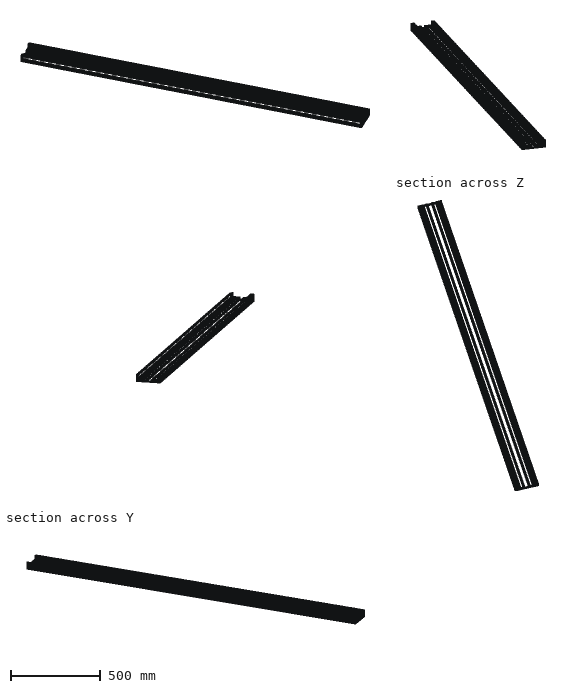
import cadquery as cq
import math

length = 2000.0
width = 130.0
height = 35.0

strip_thickness = 2.2
base_height = 13.5
base_roof = 2.8
base_floor = 3.5

outer_wall = 2.5
outer_chamber = 9.5
thin_web = 1.2
middle_chamber = 9.8
thick_web = 4.5
inner_chamber = 19.8
inner_wall = 3.5

wall_thickness = 8.5
lip_overhang = 2.2
lip_thickness = 4.2
lip_end_depth = 10.2
shoulder_width = 6.2
slope_width = 2.8
slope_angle = 30.0

half_width = width / 2
half_length = length / 2
base_width = (outer_wall + outer_chamber + thin_web + middle_chamber
              + thick_web + inner_chamber + inner_wall)


def section_plane():
    """Cross-section plane at the -X end, facing +X, with its origin at mid-width on the underside."""
    return cq.Workplane("YZ", origin=(-half_length, 0, -height / 2))


def half_rail():
    """The solid +Y half of the rail, without its chambers."""
    shoulder_height = height - slope_width * math.tan(math.radians(slope_angle))
    slope_start = half_width - shoulder_width
    slope_end = slope_start - slope_width
    wall_inside = half_width - wall_thickness
    lip_end = wall_inside - lip_overhang
    base_inside = half_width - base_width
    outline = [
        (0, 0),
        (half_width, 0),
        (half_width, shoulder_height),
        (slope_start, shoulder_height),
        (slope_end, height),
        (lip_end, height),
        (lip_end, height - lip_end_depth),
        (wall_inside, height - lip_thickness),
        (wall_inside, base_height),
        (base_inside, base_height),
        (base_inside, strip_thickness),
        (0, strip_thickness),
    ]
    return section_plane().polyline(outline).close().extrude(length)


def chambers():
    """The three through chambers in the base on the +Y side."""
    chamber_height = base_height - base_roof - base_floor
    middle_height = base_floor + chamber_height / 2
    section = section_plane()
    outer_side = half_width
    for wall, chamber in (
        (outer_wall, outer_chamber),
        (thin_web, middle_chamber),
        (thick_web, inner_chamber),
    ):
        center = outer_side - wall - chamber / 2
        section = section.moveTo(center, middle_height).rect(chamber, chamber_height)
        outer_side -= wall + chamber
    return section.extrude(length)


hollow_half = half_rail().cut(chambers())
result = hollow_half.union(hollow_half.mirror("XZ")).clean()